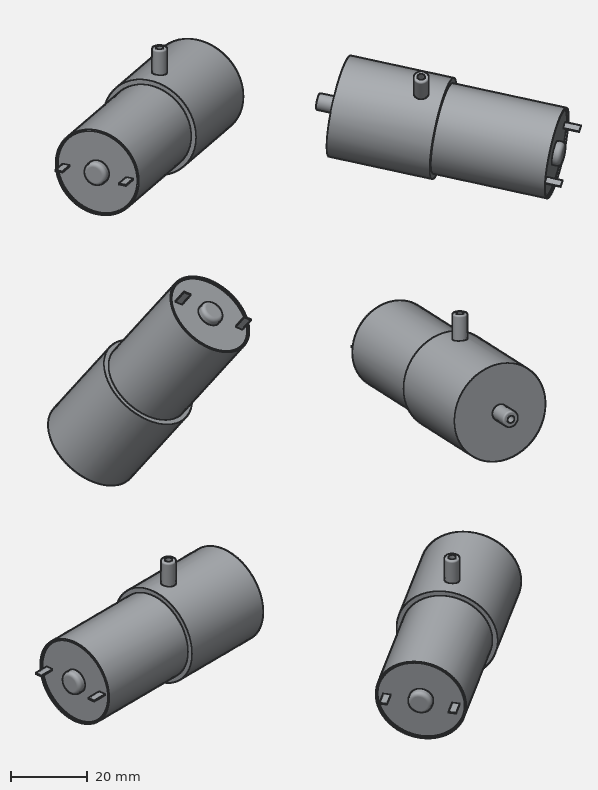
import cadquery as cq

head_diameter = 27.0
head_length = 27.8

rear_port_diameter = 4.5
rear_port_length = 6.0

top_port_diameter = 4.0
top_port_height = 20.5
top_port_y = 5.9
port_bore_diameter = 2.0
port_bore_depth = 7.0
port_edge_radius = 0.5

motor_diameter = 24.2
motor_length = 30.65
motor_recess_diameter = 23.3
motor_recess_depth = 0.5

boss_diameter = 6.5
boss_length = 1.8
boss_edge_radius = 1.0

terminal_width = 2.05
terminal_thickness = 0.35
terminal_length = 3.8
terminal_spacing = 18.4

motor_front_y = -motor_length
recess_floor_y = motor_front_y + motor_recess_depth


def cylinder_along_y(diameter, start_y, end_y):
    """Cylinder on the pump axis between two Y positions."""
    plane = cq.Workplane("XZ", origin=(0, start_y, 0))
    return plane.circle(diameter / 2).extrude(start_y - end_y)


def make_rear_port():
    port_end_y = head_length + rear_port_length
    port = cylinder_along_y(rear_port_diameter, 0, port_end_y)
    port = port.faces(">Y").edges().fillet(port_edge_radius)
    bore = cylinder_along_y(port_bore_diameter, port_end_y - port_bore_depth, port_end_y)
    return port, bore


def make_top_port():
    base = cq.Workplane("XY", origin=(0, top_port_y, 0))
    port = base.circle(top_port_diameter / 2).extrude(top_port_height)
    port = port.faces(">Z").edges().fillet(port_edge_radius)
    bore = (
        base.workplane(offset=top_port_height)
        .circle(port_bore_diameter / 2)
        .extrude(-port_bore_depth)
    )
    return port, bore


def make_head():
    """Pump head with its two bored ports."""
    head = cylinder_along_y(head_diameter, 0, head_length)
    ports = [make_rear_port(), make_top_port()]
    for port, _ in ports:
        head = head.union(port)
    for _, bore in ports:
        head = head.cut(bore)
    return head


def make_motor():
    """Motor with a shallow recess in its front face and a rounded bearing boss."""
    motor = cylinder_along_y(motor_diameter, motor_front_y, 0)
    recess = cylinder_along_y(motor_recess_diameter, motor_front_y, recess_floor_y)
    boss = cylinder_along_y(boss_diameter, motor_front_y - boss_length, recess_floor_y)
    boss = boss.faces("<Y").edges().fillet(boss_edge_radius)
    return motor.cut(recess).union(boss)


def make_terminal(center_x):
    """Flat terminal standing on the floor of the motor's recess."""
    return (
        cq.Workplane("XZ", origin=(center_x, recess_floor_y, 0))
        .rect(terminal_width, terminal_thickness)
        .extrude(terminal_length + motor_recess_depth)
    )


head = make_head()
motor = make_motor()
terminals = []
for side in (-1, 1):
    terminals.append(make_terminal(side * terminal_spacing / 2))

result = cq.Compound.makeCompound([
    head.val(),
    motor.val(),
    *[terminal.val() for terminal in terminals],
])